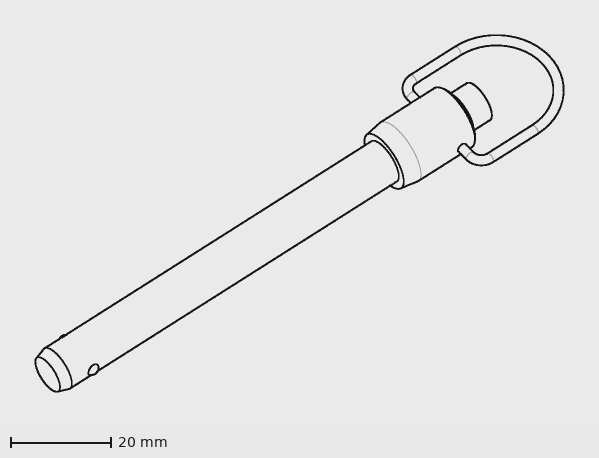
import cadquery as cq


shank_diameter = 9.525
shank_length = 85.4
tip_diameter = 8.0
tip_taper_length = 2.4

ball_diameter = 2.9
ball_span = 11.1
ball_to_tip = 7.87

body_diameter = 13.97
body_length = 18.0
body_end_chamfer = 0.4
shoulder_diameter = 12.7
shoulder_taper_length = 3.8

button_diameter = 8.75
button_length = 5.97
collar_base_diameter = 10.7
collar_top_diameter = 9.8
collar_length = 0.9

wire_diameter = 2.1
ring_width = 26.92
ring_end = 41.98
ring_bend_radius = 2.9
ring_arm_y = 14.3

shank_radius = shank_diameter / 2
tip_radius = tip_diameter / 2
body_radius = body_diameter / 2
shoulder_radius = shoulder_diameter / 2
button_radius = button_diameter / 2
collar_base_radius = collar_base_diameter / 2
collar_top_radius = collar_top_diameter / 2
wire_radius = wire_diameter / 2
ball_radius = ball_diameter / 2

ring_radius = ring_width / 2 - wire_radius
ring_arc_y = ring_end - ring_width / 2


def make_pin():
    """Shank, handle body and button as one turned shape about Y."""
    tip_y = -shank_length
    button_y = body_length + button_length
    half_section = (
        cq.Workplane("XY")
        .moveTo(0, tip_y)
        .lineTo(tip_radius, tip_y)
        .lineTo(shank_radius, tip_y + tip_taper_length)
        .lineTo(shank_radius, 0)
        .lineTo(shoulder_radius, 0)
        .lineTo(body_radius, shoulder_taper_length)
        .lineTo(body_radius, body_length - body_end_chamfer)
        .lineTo(body_radius - body_end_chamfer, body_length)
        .lineTo(collar_base_radius, body_length)
        .lineTo(collar_top_radius, body_length + collar_length)
        .lineTo(button_radius, body_length + collar_length)
        .lineTo(button_radius, button_y)
        .lineTo(0, button_y)
        .close()
    )
    return half_section.revolve(360, (0, 0, 0), (0, 1, 0))


def make_balls():
    """Two locking balls that stand proud of the shank on +X and -X."""
    ball_x = ball_span / 2 - ball_radius
    ball_y = ball_to_tip - shank_length
    return (
        cq.Workplane("XY")
        .pushPoints([(-ball_x, ball_y), (ball_x, ball_y)])
        .sphere(ball_radius)
    )


def make_ring():
    """Wire ring: a half circle, two straight legs and two arms that meet on the pin axis."""
    leg_y = ring_arm_y + ring_bend_radius
    arm_x = ring_radius - ring_bend_radius
    path = (
        cq.Workplane("XY")
        .moveTo(0, ring_arm_y)
        .lineTo(arm_x, ring_arm_y)
        .tangentArcPoint((ring_radius, leg_y), relative=False)
        .lineTo(ring_radius, ring_arc_y)
        .threePointArc((0, ring_arc_y + ring_radius), (-ring_radius, ring_arc_y))
        .lineTo(-ring_radius, leg_y)
        .tangentArcPoint((-arm_x, ring_arm_y), relative=False)
        .lineTo(0, ring_arm_y)
    )
    wire_section = cq.Workplane("YZ").center(ring_arm_y, 0).circle(wire_radius)
    return wire_section.sweep(path)


result = make_pin().union(make_balls()).union(make_ring())